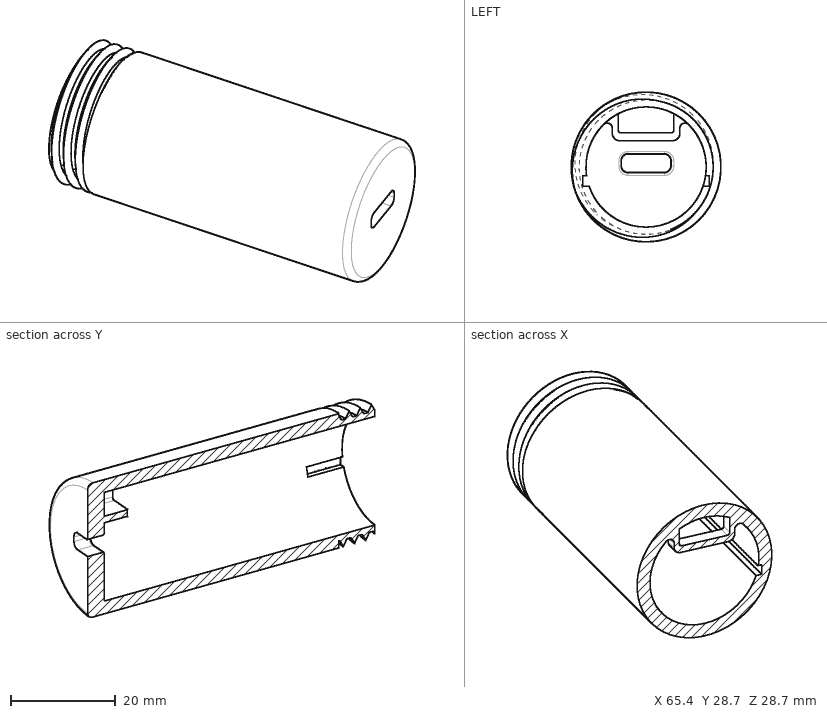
import cadquery as cq
import math

length = 65.35
body_diameter = 28.7
bore_diameter = 23.0
wall_middle_diameter = (bore_diameter + body_diameter) / 2
end_fillet = 1.25
floor_thickness = 3.9
floor_x = length - floor_thickness

neck_length = 8.2
root_diameter = 25.7
crest_diameter = 28.6
pitch = 2.55
first_crest_x = 0.1
thread_angle = 60.0
ridge_embed = 0.2

keyway_bottom = -3.65
keyway_width = 1.95
keyway_reach = 12.1

slot_length = 9.5
slot_height = 3.5
slot_corner_diameter = 2.55
slot_rim_fillet = 0.5
slot_z = 0.7

holder_width = 12.95
holder_bottom = 5.0
holder_height = 5.2
holder_corner = 1.45
holder_blend = 1.0
pocket_width = 10.65
pocket_bottom = 6.55
pocket_corner = 0.5


def cylinder(diameter, start, end):
    """Solid cylinder on the X axis between two X positions."""
    return cq.Workplane("YZ", origin=(start, 0, 0)).circle(diameter / 2).extrude(end - start)


def block(x_range, y_range, z_range):
    """Box given by its limits along each axis."""
    sizes = [high - low for low, high in (x_range, y_range, z_range)]
    corner = (x_range[0], y_range[0], z_range[0])
    return cq.Workplane("XY", origin=corner).box(*sizes, centered=False)


def thread_ridge():
    """Helical ridge started ahead of the mouth and run past the neck, then trimmed to the neck."""
    crest_radius = crest_diameter / 2
    base_radius = root_diameter / 2 - ridge_embed
    half_base = (crest_radius - base_radius) * math.tan(math.radians(thread_angle / 2))
    run = neck_length + 2 * pitch
    helix = cq.Wire.makeHelix(pitch, run, base_radius)
    ridge = (
        cq.Workplane("XZ")
        .moveTo(base_radius, -half_base)
        .lineTo(crest_radius, 0)
        .lineTo(base_radius, half_base)
        .close()
        .sweep(cq.Workplane(helix), isFrenet=True)
    )
    ridge = ridge.rotate((0, 0, 0), (1, 1, 1), 120).translate((first_crest_x - pitch, 0, 0))
    return ridge.intersect(cylinder(2 * body_diameter, 0, neck_length))


def outer_body():
    """Plain barrel with a rounded closed end, plus the threaded neck."""
    barrel = cylinder(body_diameter, neck_length, length).faces(">X").edges().fillet(end_fillet)
    neck = cylinder(root_diameter, 0, neck_length)
    return barrel.union(neck.union(thread_ridge()))


def keyways():
    """Full-depth keyway on the +Y side and a neck-length one on the -Y side."""
    z_range = (keyway_bottom, keyway_bottom + keyway_width)
    long_key = block((0, floor_x), (0, keyway_reach), z_range)
    short_key = block((0, neck_length), (-keyway_reach, 0), z_range)
    return long_key.union(short_key)


def cut_connector_slot(shell):
    """Cut the rounded slot through the floor and round its inner rim."""
    slot = (
        cq.Workplane("YZ", origin=(floor_x, 0, slot_z))
        .rect(slot_length, slot_height)
        .extrude(floor_thickness)
        .edges("|X")
        .fillet(slot_corner_diameter / 2)
    )
    reach_y = slot_length / 2 + slot_rim_fillet
    reach_z = slot_height / 2 + slot_rim_fillet
    rim = cq.selectors.BoxSelector(
        (floor_x - slot_rim_fillet, -reach_y, slot_z - reach_z),
        (floor_x + slot_rim_fillet, reach_y, slot_z + reach_z),
        boundingbox=True,
    )
    return shell.cut(slot).edges(rim).fillet(slot_rim_fillet)


def holder_bar(width, bottom, corner):
    """Bar along X with rounded lower edges, reaching up to the body radius."""
    limits = ((floor_x - holder_height, floor_x), (-width / 2, width / 2), (bottom, body_diameter / 2))
    return block(*limits).edges("|X and (not >Z)").fillet(corner)


def blend_web(side):
    """Concave fillet between one side of the holder and the bore wall; side is +1 or -1 along Y."""
    center_y = holder_width / 2 + holder_blend
    center_distance = bore_diameter / 2 - holder_blend
    center_z = math.sqrt(center_distance**2 - center_y**2)
    touch_scale = bore_diameter / 2 / center_distance
    touch_y = center_y * touch_scale
    touch_z = center_z * touch_scale
    touch_angle = math.atan2(center_z, center_y)
    middle_angle = (touch_angle + math.pi) / 2
    middle_y = center_y + holder_blend * math.cos(middle_angle)
    middle_z = center_z + holder_blend * math.sin(middle_angle)
    outer_z = wall_middle_diameter / 2
    return (
        cq.Workplane("YZ", origin=(floor_x - holder_height, 0, 0))
        .moveTo(side * holder_width / 2, center_z)
        .threePointArc((side * middle_y, middle_z), (side * touch_y, touch_z))
        .lineTo(side * touch_y, outer_z)
        .lineTo(side * holder_width / 2, outer_z)
        .close()
        .extrude(holder_height)
    )


def holder():
    """U-shaped holder with blended sides, trimmed so that it is embedded in the tube wall."""
    outside = holder_bar(holder_width, holder_bottom, holder_corner)
    outside = outside.union(blend_web(1)).union(blend_web(-1))
    pocket = holder_bar(pocket_width, pocket_bottom, pocket_corner)
    return outside.cut(pocket).intersect(cylinder(wall_middle_diameter, floor_x - holder_height, floor_x))


tube = outer_body().cut(cylinder(bore_diameter, 0, floor_x)).cut(keyways())
result = cut_connector_slot(tube).union(holder())